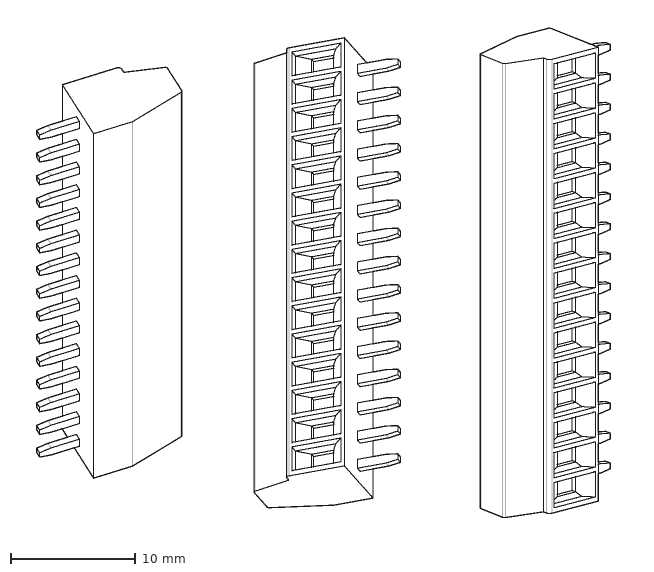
import cadquery as cq


pole_count = 15
pitch = 2.54
end_margin = 1.5

housing_width = 6.2
housing_depth = 8.5
shoulder_height = 5.1
shoulder_width = 0.7
back_slope_height = 3.4
crown_inset = 1.55
crown_radius = 0.2
shoulder_radius = 0.3

mouth_height = 2.14
mouth_bottom = 0.3
mouth_top = 4.55
mouth_depth = 0.8
hole_height = 1.42
hole_bottom = 1.4
hole_top = 3.3
funnel_end_depth = 1.15
hole_end_depth = 1.6

pin_length = 3.5
pin_taper_length = 1.0
pin_thickness = 0.6
pin_width = 0.8
pin_tip_width = 0.5

pole_span = (pole_count - 1) * pitch
housing_length = pole_span + 2 * end_margin
entry_face_x = -housing_width / 2
back_face_x = housing_width / 2
pole_heights = [index * pitch - pole_span / 2 for index in range(pole_count)]


def make_housing():
    crown_left = (entry_face_x + crown_inset, housing_depth)
    crown_right = (back_face_x - crown_inset, housing_depth)
    shoulder_edge = (entry_face_x, shoulder_height)
    body = (
        cq.Workplane("XY", origin=(0, 0, -housing_length / 2))
        .moveTo(entry_face_x, 0)
        .lineTo(back_face_x, 0)
        .lineTo(back_face_x, back_slope_height)
        .lineTo(*crown_right)
        .lineTo(*crown_left)
        .lineTo(entry_face_x + shoulder_width, shoulder_height)
        .lineTo(*shoulder_edge)
        .close()
        .extrude(housing_length)
    )
    for corner in (crown_left, crown_right):
        body = body.edges(cq.NearestToPointSelector((*corner, 0))).fillet(crown_radius)
    return body.edges(cq.NearestToPointSelector((*shoulder_edge, 0))).fillet(shoulder_radius)


def entry_section(depth, bottom, top, height):
    """Rectangle across the wire entry, at a depth inside the entry face."""
    return (
        cq.Workplane("YZ", origin=(entry_face_x + depth, (bottom + top) / 2, 0))
        .rect(top - bottom, height)
    )


def make_wire_entry():
    ramp_rise = (hole_bottom - mouth_bottom) * mouth_depth / funnel_end_depth
    funnel_bottom = mouth_bottom + ramp_rise
    mouth = (
        cq.Workplane("XY", origin=(0, 0, -mouth_height / 2))
        .polyline([
            (entry_face_x, mouth_bottom),
            (entry_face_x + mouth_depth, funnel_bottom),
            (entry_face_x + mouth_depth, mouth_top),
            (entry_face_x, mouth_top),
        ])
        .close()
        .extrude(mouth_height)
    )
    funnel_start = entry_section(mouth_depth, funnel_bottom, mouth_top, mouth_height)
    funnel_end = entry_section(funnel_end_depth, hole_bottom, hole_top, hole_height)
    funnel = cq.Workplane(
        cq.Solid.makeLoft([funnel_start.wires().val(), funnel_end.wires().val()], True)
    )
    hole = funnel_end.extrude(hole_end_depth - funnel_end_depth)
    return mouth.union(funnel).union(hole)


def make_pin():
    shank_end = -(pin_length - pin_taper_length)
    return (
        cq.Workplane("YZ", origin=(-pin_thickness / 2, 0, 0))
        .polyline([
            (0, -pin_width / 2),
            (0, pin_width / 2),
            (shank_end, pin_width / 2),
            (-pin_length, pin_tip_width / 2),
            (-pin_length, -pin_tip_width / 2),
            (shank_end, -pin_width / 2),
        ])
        .close()
        .extrude(pin_thickness)
    )


result = make_housing()
wire_entry = make_wire_entry()
pin = make_pin()
for height in pole_heights:
    result = result.cut(wire_entry.translate((0, 0, height)))
    result = result.union(pin.translate((0, 0, height)))